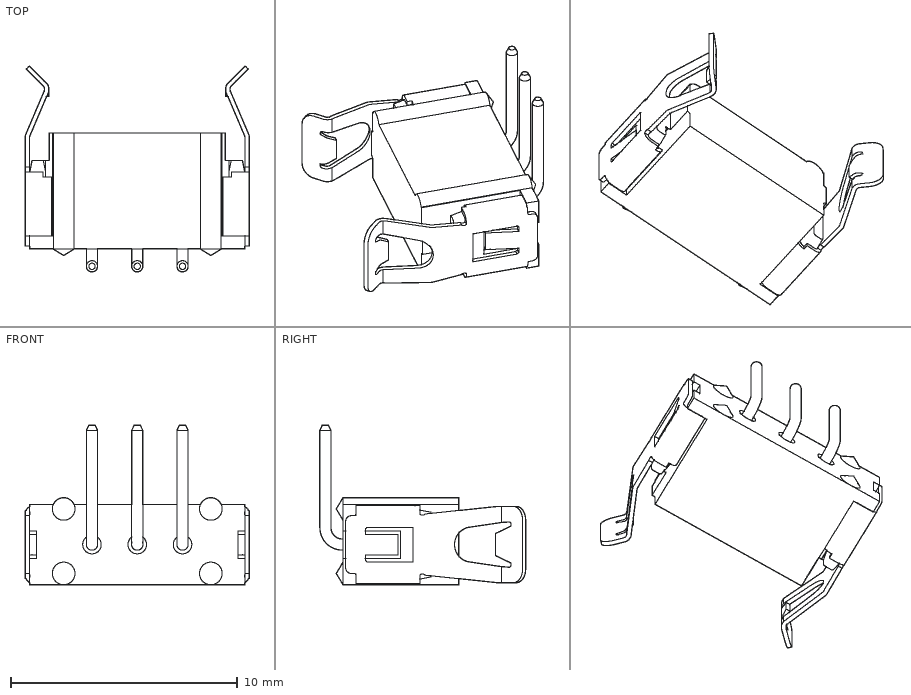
import cadquery as cq
import math


housing_height = 3.55
half_height = housing_height / 2
housing_depth = 5.12
body_half_width = 3.75
plate_half_width = 4.75
plate_thickness = 0.57

post_radius = 0.5
post_x = 3.25
post_tip_length = 0.3
rib_rise = 0.3
lower_post_z = post_radius - half_height
upper_post_z = half_height + rib_rise - post_radius

ridge_half_height = 0.67
ridge_half_width = 3.895

clip_thickness = 0.2
clip_outer_x = plate_half_width + clip_thickness
clip_front_y = 0.12
clip_half_height = 1.725
flange_end_y = 3.4
flange_bend_radius = 0.375
flange_inner_radius = flange_bend_radius - clip_thickness
flange_edge_z = clip_half_height - flange_bend_radius
flange_outer_bend_x = clip_outer_x - flange_bend_radius
flange_inner_bend_x = 4.165
curl_end_y = 3.18
curl_edge_x = flange_inner_bend_x - flange_bend_radius

spread_start_y = 5.0
knee_x = 3.9
knee_y = 7.0
knee_straight = 0.13
knee_outer_round = 0.17
knee_inner_round = knee_outer_round + clip_thickness
spread_inner_round = 0.12
spread_outer_round = spread_inner_round + clip_thickness
tip_y = 8.075
tip_half_height = 1.69
tip_corner_radius = 0.6
tip_start_y = 6.82
front_half_height = 1.275
front_corner_radius = 0.25
front_notch_fillet = flange_edge_z - front_half_height
notch_depth = 0.055
notch_end_y = 3.62

opening_arc_radius = 0.775
opening_apex_y = 4.93
opening_arc_end_y = 5.51
opening_end_y = 7.42
opening_end_half_height = 1.0
opening_knee_half_height = 0.97
opening_corner_radius = 0.08
tab_end_y = 6.735
tab_end_half_height = 0.49
tab_root_half_height = 0.82

window_front_y = 0.99
window_back_y = 3.1
window_half_height = 0.76
window_corner = 0.075
tongue_end_y = 2.43
tongue_half_height = 0.455

arm_outer_x = plate_half_width
arm_inner_x = 4.05
arm_half_height = clip_half_height - clip_thickness
arm_corner_radius = 0.23
arm_taper_length = 0.5
arm_taper_inset = 0.1
arm_end_y = flange_end_y + arm_taper_length
neck_arm_fillet = 0.095
neck_body_fillet = 0.12

slot_depth = 0.31
slot_end_y = 2.54
slot_half_height = 0.605

pin_count = 3
pin_pitch = 2.0
pin_radius = 0.25
pin_bend_radius = 0.75
pin_bend_start_y = -0.025
overall_height = 7.05
pin_top_z = overall_height - half_height
pin_tip_length = 0.23
pin_tip_radius = 0.14
pin_depth = 2.5
pin_mouth_radius = 0.41
pin_mouth_depth = 0.16
pin_positions = [(i - (pin_count - 1) / 2) * pin_pitch for i in range(pin_count)]


def box(x_range, y_range, z_range):
    """Box spanning the given ranges."""
    size = [high - low for low, high in (x_range, y_range, z_range)]
    corner = (x_range[0], y_range[0], z_range[0])
    return cq.Workplane("XY").box(*size, centered=False).translate(corner)


def along_y(start_y):
    """Sketch plane with local x = X and local y = Z; negative extrusions go toward +Y."""
    return cq.Workplane(cq.Plane(origin=(0, start_y, 0), xDir=(1, 0, 0), normal=(0, -1, 0)))


def side_outline():
    """Sketch plane with local x = Y and local y = Z, extruding toward +X."""
    return cq.Workplane("YZ")


def on_both_sides(left_part):
    """The left-hand part joined with its mirror image."""
    return left_part.union(left_part.mirror("YZ"))


def posts():
    """Two ribs along the top and four conical tips on the front face."""
    rib = along_y(0).pushPoints([(-post_x, upper_post_z), (post_x, upper_post_z)])
    ribs = rib.circle(post_radius).extrude(-housing_depth)
    for x in (-post_x, post_x):
        for z in (lower_post_z, upper_post_z):
            center = cq.Vector(x, 0, z)
            tip = cq.Solid.makeCone(post_radius, 0, post_tip_length, center, cq.Vector(0, -1, 0))
            ribs = ribs.union(cq.Workplane(tip))
    return ribs


def left_arm():
    """Rounded arm behind the plate, with a drafted rear end."""
    center_x = -(arm_outer_x + arm_inner_x) / 2
    width = arm_outer_x - arm_inner_x
    draft = math.degrees(math.atan(arm_taper_inset / arm_taper_length))
    section = cq.Sketch().rect(width, 2 * arm_half_height).vertices().fillet(arm_corner_radius)
    straight = along_y(0).center(center_x, 0).placeSketch(section).extrude(-flange_end_y)
    straight = straight.intersect(
        box((-arm_outer_x, 0), (plate_thickness / 2, flange_end_y), (-half_height, half_height))
    )
    rear_plane = cq.Plane(origin=(center_x, flange_end_y, 0), xDir=(1, 0, 0), normal=(0, 1, 0))
    rear = cq.Workplane(rear_plane).placeSketch(section).extrude(arm_taper_length, taper=draft)
    return straight.union(rear)


def left_neck():
    """Web between body and arm with concave fillets; the body fillet follows the ridge to the rear."""
    arm_x = -(arm_inner_x + 2 * arm_taper_inset)
    start_y = plate_thickness / 2
    h = ridge_half_height
    web = box((arm_x, neck_body_fillet - body_half_width), (start_y, arm_end_y), (-h, h))
    flares = [
        (-arm_inner_x, neck_arm_fillet, arm_end_y),
        (-body_half_width, -neck_body_fillet, housing_depth),
    ]
    for edge_x, reach, end_y in flares:
        for side in (-1, 1):
            flare = (
                along_y(start_y)
                .moveTo(edge_x, side * h)
                .lineTo(edge_x + reach, side * h)
                .radiusArc((edge_x, side * (h + abs(reach))), side * reach)
                .close()
                .extrude(start_y - end_y)
            )
            web = web.union(flare)
    return web


def make_housing():
    body = box((-body_half_width, body_half_width), (0, housing_depth), (-half_height, half_height))
    plate = box((-plate_half_width, plate_half_width), (0, plate_thickness), (-half_height, half_height))
    ridge = box(
        (-ridge_half_width, ridge_half_width),
        (0, housing_depth),
        (-ridge_half_height, ridge_half_height),
    )
    housing = body.union(plate).union(ridge).union(posts())
    housing = housing.union(on_both_sides(left_arm().union(left_neck())))

    slot = box(
        (-plate_half_width, slot_depth - plate_half_width),
        (0, slot_end_y),
        (-slot_half_height, slot_half_height),
    )
    housing = housing.cut(on_both_sides(slot))
    for x in pin_positions:
        center = cq.Vector(x, 0, 0)
        inward = cq.Vector(0, 1, 0)
        bore = cq.Solid.makeCylinder(pin_radius, pin_depth, center, inward)
        mouth = cq.Solid.makeCone(pin_mouth_radius, pin_radius, pin_mouth_depth, center, inward)
        housing = housing.cut(cq.Workplane(bore)).cut(cq.Workplane(mouth))
    return housing


def make_pin(x):
    """Round wire: straight into the housing, quarter bend upward, tapered top."""
    bend_y = pin_bend_start_y - pin_bend_radius
    half_chord = pin_bend_radius * math.sqrt(0.5)
    path = (
        side_outline()
        .moveTo(pin_depth, 0)
        .lineTo(pin_bend_start_y, 0)
        .threePointArc(
            (pin_bend_start_y - half_chord, pin_bend_radius - half_chord),
            (bend_y, pin_bend_radius),
        )
        .lineTo(bend_y, pin_top_z - pin_tip_length)
    )
    wire = along_y(pin_depth).circle(pin_radius).sweep(path)
    tip_base = cq.Vector(0, bend_y, pin_top_z - pin_tip_length)
    tip = cq.Solid.makeCone(pin_radius, pin_tip_radius, pin_tip_length, tip_base, cq.Vector(0, 0, 1))
    return wire.union(cq.Workplane(tip)).translate((x, 0, 0))


def round_bend(strip, corner, radius):
    """Round the full-height edge of the sheet at an XY corner."""
    return strip.edges(cq.NearestToPointSelector((*corner, 0))).fillet(radius)


def bent_strip(start_points, end_points):
    """Full-height sheet ending in the knee and the 45 degree tip.

    start_points lead along the outside to the knee, end_points return along the inside.
    """
    knee_outer = (-(knee_x + clip_thickness), knee_y + knee_straight)
    outer_sum = sum(knee_outer)
    inner_sum = outer_sum + clip_thickness * math.sqrt(2)
    tip_inner = (inner_sum - tip_y, tip_y)
    end_step = clip_thickness * math.sqrt(0.5)
    tip_outer = (tip_inner[0] - end_step, tip_inner[1] - end_step)
    knee_inner = (-knee_x, inner_sum + knee_x)
    points = [*start_points, knee_outer, tip_outer, tip_inner, knee_inner, *end_points]
    strip = cq.Workplane("XY").polyline(points).close().extrude(tip_half_height, both=True)
    strip = round_bend(strip, knee_inner, knee_inner_round)
    strip = round_bend(strip, knee_outer, knee_outer_round)
    tip_center_x = (tip_inner[0] + tip_outer[0]) / 2
    tip_center_y = (tip_inner[1] + tip_outer[1]) / 2
    for z in (-tip_half_height, tip_half_height):
        corner = cq.NearestToPointSelector((tip_center_x, tip_center_y, z))
        strip = strip.edges(corner).fillet(tip_corner_radius)
    return strip


def clip_outline():
    """Side outline of the sheet, upper and lower edges alike."""
    front_bend_y = clip_front_y + front_corner_radius
    round_z = front_half_height - front_corner_radius
    notch_y = (flange_end_y + notch_end_y) / 2
    half = (
        side_outline()
        .moveTo(clip_front_y, 0)
        .lineTo(clip_front_y, round_z)
        .radiusArc((front_bend_y, front_half_height), front_corner_radius)
        .lineTo(plate_thickness - front_notch_fillet, front_half_height)
        .radiusArc((plate_thickness, flange_edge_z), -front_notch_fillet)
        .lineTo(flange_end_y, flange_edge_z)
        .threePointArc((notch_y, flange_edge_z - notch_depth), (notch_end_y, flange_edge_z))
        .lineTo(tip_start_y, tip_half_height)
        .lineTo(tip_y, tip_half_height)
        .lineTo(tip_y, 0)
        .close()
        .extrude(-clip_outer_x)
    )
    return half.union(half.mirror("XY"))


def spring_opening():
    """Opening between the two spring legs, round at its front end."""
    center_y = opening_apex_y + opening_arc_radius
    arc_end_z = math.sqrt(opening_arc_radius**2 - (center_y - opening_arc_end_y) ** 2)
    return (
        side_outline()
        .moveTo(opening_end_y, -opening_end_half_height)
        .lineTo(opening_end_y, opening_end_half_height)
        .lineTo(knee_y, opening_knee_half_height)
        .lineTo(opening_arc_end_y, arc_end_z)
        .threePointArc((opening_apex_y, 0), (opening_arc_end_y, -arc_end_z))
        .lineTo(knee_y, -opening_knee_half_height)
        .close()
        .extrude(-clip_outer_x)
        .edges("|X and >Y")
        .fillet(opening_corner_radius)
    )


def tab_outline():
    """Trapezoid of the tab left standing in the opening."""
    return (
        side_outline()
        .moveTo(tab_end_y, -tab_end_half_height)
        .lineTo(opening_end_y, -tab_root_half_height)
        .lineTo(opening_end_y, tab_root_half_height)
        .lineTo(tab_end_y, tab_end_half_height)
        .close()
        .extrude(-clip_outer_x)
    )


def flange():
    """Upper edge of the sheet, curled over the arm and down again."""
    r = flange_bend_radius
    inner_r = flange_inner_radius
    under_z = flange_edge_z + inner_r
    curled = (
        along_y(plate_thickness)
        .moveTo(-clip_outer_x, flange_edge_z)
        .radiusArc((-flange_outer_bend_x, clip_half_height), r)
        .lineTo(-flange_inner_bend_x, clip_half_height)
        .radiusArc((-curl_edge_x, flange_edge_z), r)
        .lineTo(-(curl_edge_x + clip_thickness), flange_edge_z)
        .radiusArc((-flange_inner_bend_x, under_z), -inner_r)
        .lineTo(-flange_outer_bend_x, under_z)
        .radiusArc((-plate_half_width, flange_edge_z), -inner_r)
        .close()
        .extrude(plate_thickness - flange_end_y)
    )
    trim = box(
        (-flange_inner_bend_x, -curl_edge_x), (curl_end_y, flange_end_y), (flange_edge_z, clip_half_height)
    )
    return curled.cut(trim)


def window():
    """Window in the side of the sheet, with its front corners clipped."""
    opening = box(
        (-clip_outer_x, -plate_half_width),
        (window_front_y, window_back_y),
        (-window_half_height, window_half_height),
    )
    return opening.edges("|X and <Y").chamfer(window_corner)


def tongue():
    """Latch tongue sloping from the front of the window down to the slot floor."""
    tip_inner_x = slot_depth - plate_half_width
    profile = [
        (-clip_outer_x, window_front_y),
        (tip_inner_x - clip_thickness, tongue_end_y),
        (tip_inner_x, tongue_end_y),
        (-plate_half_width, window_front_y),
    ]
    return cq.Workplane("XY").polyline(profile).close().extrude(tongue_half_height, both=True)


def make_left_clip():
    knee_outer_x = -(knee_x + clip_thickness)
    spread_angle = math.atan2(knee_outer_x + clip_outer_x, knee_y - spread_start_y)
    inside_shift = clip_thickness * math.tan(spread_angle / 2)
    spread_outer = (-clip_outer_x, spread_start_y)
    spread_inner = (-plate_half_width, spread_start_y - inside_shift)
    legs = bent_strip(
        [(-clip_outer_x, clip_front_y), spread_outer, (knee_outer_x, knee_y)],
        [(-knee_x, knee_y - inside_shift), spread_inner, (-plate_half_width, clip_front_y)],
    )
    legs = round_bend(legs, spread_outer, spread_outer_round)
    legs = round_bend(legs, spread_inner, spread_inner_round)
    tab = bent_strip([(knee_outer_x, tab_end_y)], [(-knee_x, tab_end_y)])
    clip = legs.intersect(clip_outline()).cut(spring_opening())
    clip = clip.union(tab.intersect(tab_outline()))
    clip = clip.union(flange()).union(flange().mirror("XY"))
    return clip.cut(window()).union(tongue())


housing = make_housing()
pins = [make_pin(x) for x in pin_positions]
left_clip = make_left_clip()
clips = [left_clip, left_clip.mirror("YZ")]

result = cq.Compound.makeCompound([body.val() for body in (housing, *pins, *clips)])